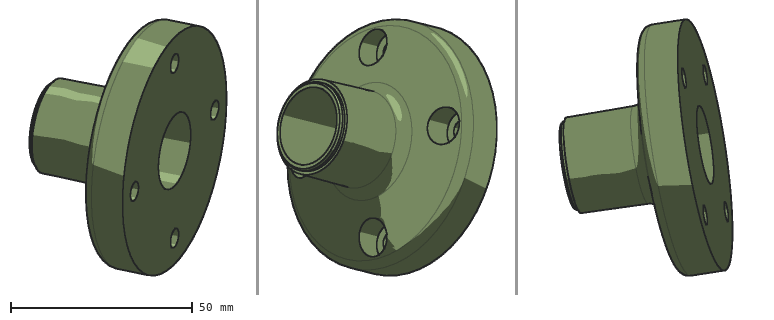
import cadquery as cq
import math

total_length = 38.5

flange_radius = 35.05
rim_round = 2.5
cone_angle = math.radians(9.5)

pilot_radius = 12.5
pilot_length = 1.5
tip_chamfer_radial = 0.5
tip_chamfer_axial = 0.6
shoulder_radius = 13.4
neck_root_position = 20.4
neck_root_radius = 13.7
neck_fillet = 3.45
bore_radius = 10.9

hole_count = 4
hole_circle_radius = 27.0
hole_radius = 2.7
counterbore_radius = 5.25
counterbore_land = 5.95
counterbore_floor = total_length - counterbore_land


def on_arc(centre, radius, angle):
    """Point (x, r) on an arc; angle 0 points along +X and grows toward larger r."""
    x, r = centre
    return (x + radius * math.cos(angle), r + radius * math.sin(angle))


def make_body():
    """Revolve the outer profile, which ends on the axis, about X."""
    fillet_centre = (neck_root_position, neck_root_radius + neck_fillet)
    fillet_mid = on_arc(fillet_centre, neck_fillet, -(math.pi / 2 + cone_angle) / 2)
    cone_inner = on_arc(fillet_centre, neck_fillet, -cone_angle)

    rim_centre_radius = flange_radius - rim_round
    cone_outer_radius = rim_centre_radius + rim_round * math.sin(cone_angle)
    cone_outer_position = cone_inner[0] + (cone_outer_radius - cone_inner[1]) * math.tan(cone_angle)
    rim_centre = (cone_outer_position + rim_round * math.cos(cone_angle), rim_centre_radius)
    rim_mid = on_arc(rim_centre, rim_round, math.pi - (math.pi / 2 + cone_angle) / 2)
    rim_start = (rim_centre[0], flange_radius)

    profile = (
        cq.Workplane("XY")
        .moveTo(0, 0)
        .lineTo(0, pilot_radius - tip_chamfer_radial)
        .lineTo(tip_chamfer_axial, pilot_radius)
        .lineTo(pilot_length, pilot_radius)
        .lineTo(pilot_length, shoulder_radius)
        .lineTo(neck_root_position, neck_root_radius)
        .threePointArc(fillet_mid, cone_inner)
        .lineTo(cone_outer_position, cone_outer_radius)
        .threePointArc(rim_mid, rim_start)
        .lineTo(total_length, flange_radius)
        .lineTo(total_length, 0)
        .close()
    )
    return profile.revolve(360, (0, 0, 0), (1, 0, 0))


def make_bore():
    """Through bore along the axis."""
    return cq.Workplane("YZ").circle(bore_radius).extrude(total_length)


def make_hole_ring(radius, length):
    """Ring of round cutters running from X = 0, placed on the Y and Z axes."""
    centres = cq.Workplane("YZ").polarArray(hole_circle_radius, 0, 360, hole_count)
    return centres.circle(radius).extrude(length)


result = (
    make_body()
    .cut(make_bore())
    .cut(make_hole_ring(hole_radius, total_length))
    .cut(make_hole_ring(counterbore_radius, counterbore_floor))
)